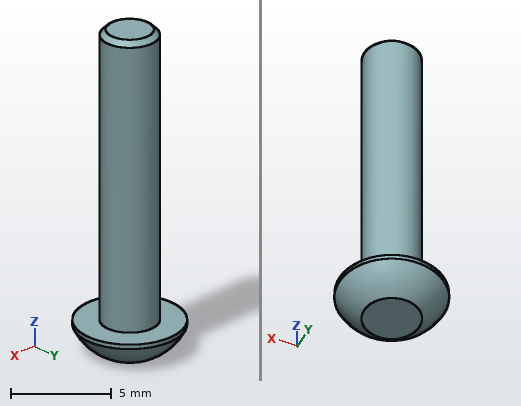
import cadquery as cq

total_length = 17.65
head_diameter = 5.7
head_height = 1.66
shank_diameter = 3.0

rim_height = 0.25
crown_diameter = 3.0
tip_chamfer = 0.3

head_radius = head_diameter / 2
crown_radius = crown_diameter / 2
dome_height = head_height - rim_height

sphere_center_z = (head_radius**2 + dome_height**2 - crown_radius**2) / (2 * dome_height)
sphere_radius = (crown_radius**2 + sphere_center_z**2) ** 0.5
dome_mid_z = dome_height / 2
dome_mid_radius = (sphere_radius**2 - (dome_mid_z - sphere_center_z) ** 2) ** 0.5

head = (
    cq.Workplane("XZ")
    .lineTo(crown_radius, 0)
    .threePointArc((dome_mid_radius, dome_mid_z), (head_radius, dome_height))
    .lineTo(head_radius, head_height)
    .lineTo(0, head_height)
    .close()
    .revolve(360, (0, 0, 0), (0, 1, 0))
)

shank = (
    cq.Workplane("XY")
    .workplane(offset=dome_height)
    .circle(shank_diameter / 2)
    .extrude(total_length - dome_height)
    .faces(">Z")
    .chamfer(tip_chamfer)
)

result = head.union(shank)